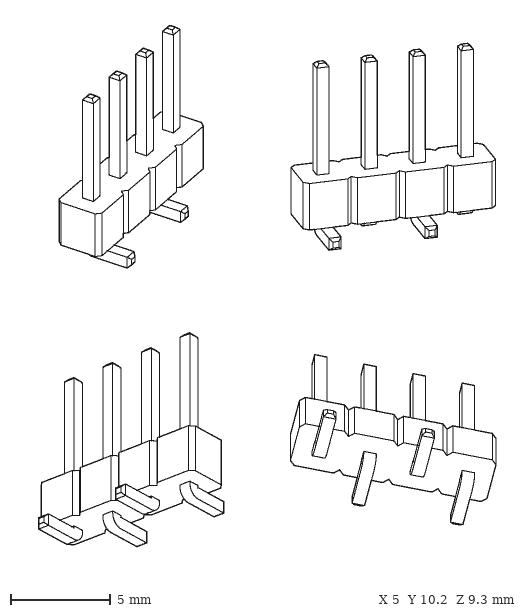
import cadquery as cq

pin_count = 4
body_length = 10.16
pitch = body_length / pin_count
cell_size = pitch
body_height = 2.54
cell_bevel = 0.25

pin_side = 0.65
pin_tip_bevel = 0.16
foot_span = 5.0
total_height = 9.3
foot_drop = 0.76

foot_bottom = -foot_drop
pin_top = total_height - foot_drop
half_pin = pin_side / 2
foot_reach = foot_span / 2


def make_cell(y):
    """One body cell; its vertical corner bevels form V-grooves with its neighbours."""
    return (
        cq.Workplane("XY")
        .center(0, y)
        .rect(cell_size, pitch)
        .extrude(body_height)
        .edges("|Z")
        .chamfer(cell_bevel)
    )


def make_pin(y, side):
    """One L-shaped pin whose foot points along X; side is -1 or +1."""
    inner_x = side * half_pin
    outer_x = -inner_x
    foot_x = side * foot_reach
    foot_top = foot_bottom + pin_side
    tip_selector = ">X" if side > 0 else "<X"
    pin = (
        cq.Workplane("XZ", origin=(0, y, 0))
        .moveTo(outer_x, pin_top)
        .lineTo(outer_x, foot_top)
        .radiusArc((inner_x, foot_bottom), -side * pin_side)
        .lineTo(foot_x, foot_bottom)
        .lineTo(foot_x, foot_top)
        .lineTo(inner_x, foot_top)
        .lineTo(inner_x, pin_top)
        .close()
        .extrude(half_pin, both=True)
    )
    pin = pin.faces(">Z").chamfer(pin_tip_bevel)
    return pin.faces(tip_selector).chamfer(pin_tip_bevel)


result = None
for index in range(pin_count):
    y_position = (index - (pin_count - 1) / 2) * pitch
    foot_side = 1 if index % 2 == 0 else -1
    cell_with_pin = make_cell(y_position).union(make_pin(y_position, foot_side))
    result = cell_with_pin if result is None else result.union(cell_with_pin)

result = result.clean()